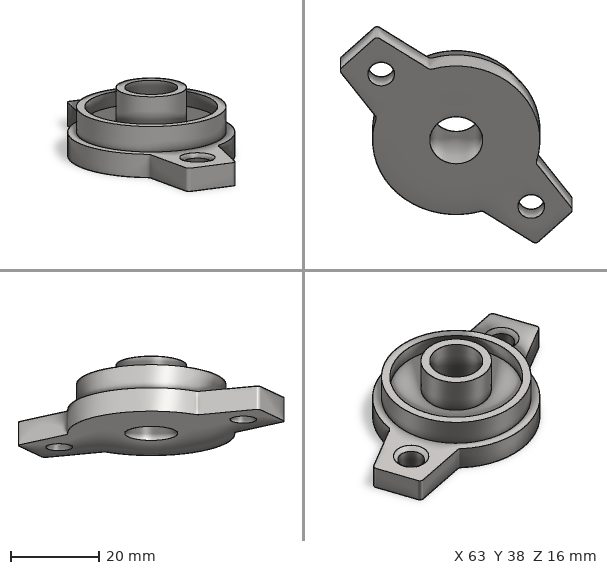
import cadquery as cq
import math

flange_diameter = 38.0
flange_thickness = 5.5
ear_span = 63.0
ear_end_width = 12.12
ear_taper_angle = 10.0
ear_corner_radius = 1.0

mounting_hole_spacing = 48.0
mounting_hole_diameter = 6.0
countersink_diameter = 8.0
countersink_angle = 90.0

rim_outer_diameter = 33.97
rim_inner_diameter = 30.09
rim_top = 11.5
recess_floor = 8.0

sleeve_diameter = 16.0
sleeve_top = 16.0
bore_diameter = 12.0


def make_ears():
    """Both ears as one hexagonal plate, widest at the flange centre."""
    half_span = ear_span / 2
    end_half_width = ear_end_width / 2
    center_half_width = end_half_width + half_span * math.tan(math.radians(ear_taper_angle))
    outline = [
        (half_span, -end_half_width),
        (half_span, end_half_width),
        (0, center_half_width),
        (-half_span, end_half_width),
        (-half_span, -end_half_width),
        (0, -center_half_width),
    ]
    return cq.Workplane("XY").polyline(outline).close().extrude(flange_thickness)


def make_flange():
    """Round plate and ears, rounded at the ear tips and where the ears meet the plate."""
    disc = cq.Workplane("XY").circle(flange_diameter / 2).extrude(flange_thickness)
    plate = disc.union(make_ears())
    return plate.edges("|Z").fillet(ear_corner_radius)


def add_bearing_seat(body):
    """Rim with its annular recess, and the sleeve standing in the middle."""
    rim = cq.Workplane("XY").circle(rim_outer_diameter / 2).extrude(rim_top)
    recess = (
        cq.Workplane("XY")
        .workplane(offset=recess_floor)
        .circle(rim_inner_diameter / 2)
        .extrude(rim_top - recess_floor)
    )
    sleeve = cq.Workplane("XY").circle(sleeve_diameter / 2).extrude(sleeve_top)
    return body.union(rim).cut(recess).union(sleeve)


def cut_bore(body):
    """Shaft bore through the full height of the sleeve."""
    bore = cq.Workplane("XY").circle(bore_diameter / 2).extrude(sleeve_top)
    return body.cut(bore)


def cut_mounting_holes(body):
    """Countersunk through holes, one in each ear."""
    hole_x = mounting_hole_spacing / 2
    flange_top = cq.Workplane("XY", origin=(0, 0, flange_thickness))
    return (
        body.copyWorkplane(flange_top)
        .pushPoints([(-hole_x, 0), (hole_x, 0)])
        .cskHole(mounting_hole_diameter, countersink_diameter, countersink_angle, flange_thickness)
    )


flange = make_flange()
seated = add_bearing_seat(flange)
bored = cut_bore(seated)
result = cut_mounting_holes(bored)